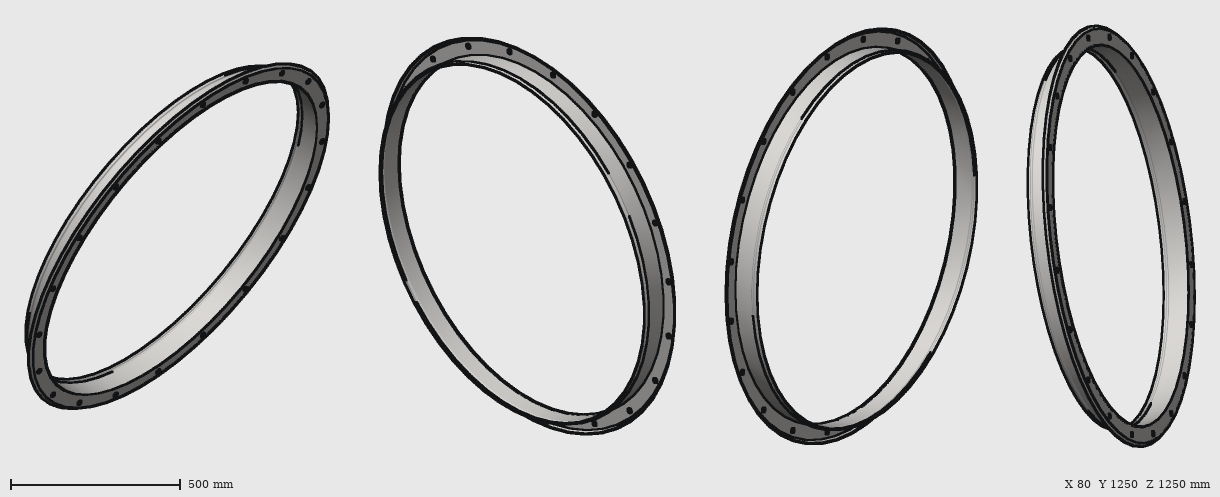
import cadquery as cq
import math

outer_diameter = 1250.0
ring_length = 80.0
sheet = 3.0

collar_inner_radius = 565.0
collar_outer_radius = collar_inner_radius + sheet
bead_start = 6.0
root_width = 4.0
crown_width = 6.0
bead_height = 4.0
bead_end = bead_start + 2 * root_width + crown_width
bead_middle = (bead_start + bead_end) / 2
root_height = bead_height * root_width / (root_width + crown_width / 2)

rim_radius = outer_diameter / 2
lip_length = 11.0
fold_radius = 615.0
lip_angle = math.atan2(rim_radius - fold_radius, lip_length)
lip_radial_thickness = sheet / math.cos(lip_angle)
lip_start = ring_length - lip_length
flange_front = ring_length - sheet
lip_slope = math.tan(lip_angle)
inner_fold_radius = fold_radius - lip_radial_thickness + sheet * lip_slope

hole_count = 20
hole_diameter = 15.0
hole_circle_radius = 595.0
hole_pitch = 360 / hole_count


def bead_points(collar_radius):
    """Ends of the bead's arcs on one face of the sheet, in order along X."""
    crown_start = bead_start + root_width
    crown_end = bead_end - root_width
    root_radius = collar_radius + root_height
    return [
        (bead_start, collar_radius),
        (crown_start, root_radius),
        (bead_middle, collar_radius + bead_height),
        (crown_end, root_radius),
        (bead_end, collar_radius),
    ]


def add_bead(outline, points):
    """Continue a straight outline over the bead with tangent arcs."""
    outline = outline.lineTo(*points[0])
    for point in points[1:]:
        outline = outline.tangentArcPoint(point, relative=False)
    return outline


def make_ring():
    """Revolve the sheet section about the X axis."""
    outline = cq.Workplane("XY").moveTo(0, collar_inner_radius)
    outline = add_bead(outline, bead_points(collar_inner_radius))
    outline = (
        outline.lineTo(ring_length, collar_inner_radius)
        .lineTo(ring_length, fold_radius)
        .lineTo(lip_start, rim_radius)
        .lineTo(lip_start, rim_radius - lip_radial_thickness)
        .lineTo(flange_front, inner_fold_radius)
        .lineTo(flange_front, collar_outer_radius)
    )
    outline = add_bead(outline, bead_points(collar_outer_radius)[::-1])
    section = outline.lineTo(0, collar_outer_radius).close()
    return section.revolve(360, (0, 0, 0), (1, 0, 0))


def make_bolt_holes():
    """Cylinders that pass through the flat part of the flange."""
    return (
        cq.Workplane("YZ", origin=(flange_front - sheet, 0, 0))
        .polarArray(hole_circle_radius, hole_pitch / 2, 360, hole_count)
        .circle(hole_diameter / 2)
        .extrude(3 * sheet)
    )


result = make_ring().cut(make_bolt_holes())